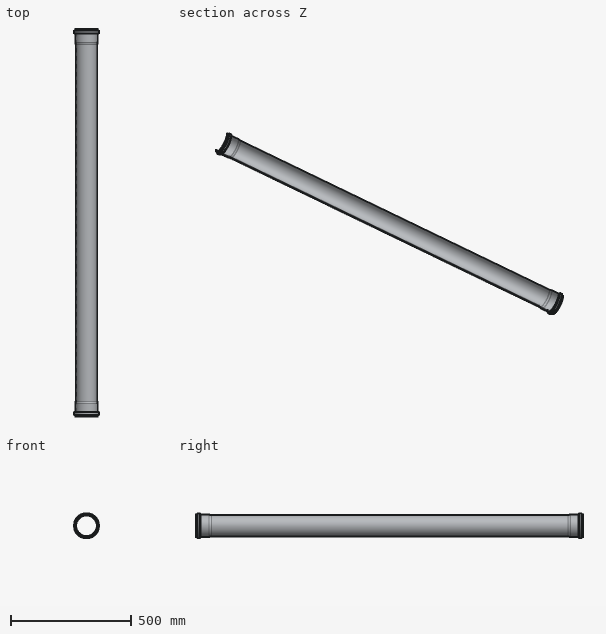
import cadquery as cq

length = 1616.0
tube_diameter = 90.0
socket_diameter = 95.0
bead_diameter = 105.0
bore_diameter = 85.0

lip_length = 5.0
bead_length = 16.0
bead_flank_length = 3.0
cone_start = 55.0
cone_length = 10.0

half_length = length / 2
wall = (tube_diameter - bore_diameter) / 2


def end_stations(offset):
    """Axial distance and radius at one end, with the surface moved inward by offset."""
    tube_radius = tube_diameter / 2 - offset
    socket_radius = socket_diameter / 2 - offset
    bead_radius = bead_diameter / 2 - offset
    bead_end = lip_length + bead_length
    return [
        (0, socket_radius),
        (lip_length, socket_radius),
        (lip_length + bead_flank_length, bead_radius),
        (bead_end - bead_flank_length, bead_radius),
        (bead_end, socket_radius),
        (cone_start, socket_radius),
        (cone_start + cone_length, tube_radius),
    ]


def revolved_body(offset):
    """Solid of revolution about Y bounded by the pipe surface moved inward by offset."""
    stations = end_stations(offset)
    front_points = [(radius, distance - half_length) for distance, radius in stations]
    back_points = [(radius, half_length - distance) for distance, radius in reversed(stations)]
    outline = [(0, -half_length)] + front_points + back_points + [(0, half_length)]
    profile = cq.Workplane("XY").polyline(outline).close()
    return profile.revolve(360, (0, 0, 0), (0, 1, 0))


result = revolved_body(0).cut(revolved_body(wall))